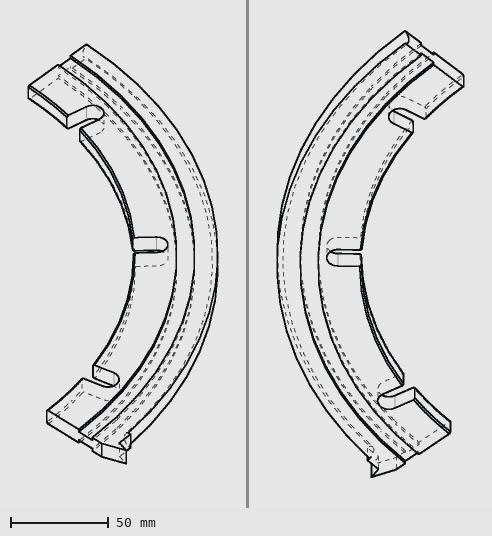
import cadquery as cq
import math

overall_length_x = 219.2

outer_radius = 216.7
inner_radius = 173.5
thickness = 9.5
half_thickness = thickness / 2
sweep_angle = 88.3
edge_chamfer = 0.9

hollow_depth = 2.8

channel_inner_radius = 195.7
channel_outer_radius = 205.0
channel_depth = 1.8

slot_width = 11.5
slot_centre_radius = 185.6
slot_spacing = 32.4
slot_count = 3

tongue_root_x = 211.5
tongue_face_x = 217.8
tongue_tip_x = overall_length_x + inner_radius * math.cos(math.radians(sweep_angle))
tongue_tip_y = 4.5
tongue_face_start_y = 6.4
tongue_face_end_y = 15.0
tongue_embed_x = 208.2


def make_ring_segment():
    """Revolve the radial cross-section, with the inner chamfers and the outer hollow."""
    chamfer_z = half_thickness - edge_chamfer
    profile = (
        cq.Workplane("XZ")
        .moveTo(inner_radius, -chamfer_z)
        .lineTo(inner_radius + edge_chamfer, -half_thickness)
        .lineTo(outer_radius, -half_thickness)
        .threePointArc((outer_radius - hollow_depth, 0), (outer_radius, half_thickness))
        .lineTo(inner_radius + edge_chamfer, half_thickness)
        .lineTo(inner_radius, chamfer_z)
        .close()
    )
    return profile.revolve(sweep_angle, (0, 0, 0), (0, 1, 0))


def make_channel(bottom_z):
    """Annular cutter for one of the face channels."""
    return (
        cq.Workplane("XY", origin=(0, 0, bottom_z))
        .circle(channel_outer_radius)
        .circle(channel_inner_radius)
        .extrude(channel_depth)
    )


def make_slot(angle):
    """Radial cutter from inside the inner wall to the rounded end."""
    length = 2 * (slot_centre_radius - inner_radius) + slot_width
    return (
        cq.Workplane("XY", origin=(0, 0, -half_thickness))
        .center(inner_radius, 0)
        .slot2D(length, slot_width)
        .extrude(thickness)
        .rotate((0, 0, 0), (0, 0, 1), angle)
    )


def extrude_outline(outline):
    """Full-height block over a closed outline of (x, y) points."""
    return cq.Workplane("XY", origin=(0, 0, -half_thickness)).polyline(outline).close().extrude(thickness)


def make_tongue():
    """Full-height block that closes the hollow and carries the pointed tongue."""
    outline = [
        (tongue_embed_x, 0),
        (tongue_root_x, 0),
        (tongue_tip_x, tongue_tip_y),
        (tongue_face_x, tongue_face_start_y),
        (tongue_face_x, tongue_face_end_y),
        (tongue_embed_x, tongue_face_end_y),
    ]
    return extrude_outline(outline)


def make_corner_cut():
    """Cutter that carries the sloping underside of the tongue through the corner of the ring."""
    return extrude_outline([(tongue_root_x, 0), (tongue_tip_x, 0), (tongue_tip_x, tongue_tip_y)])


segment = make_ring_segment()
for channel_bottom_z in (half_thickness - channel_depth, -half_thickness):
    segment = segment.cut(make_channel(channel_bottom_z))

middle_angle = sweep_angle / 2
for index in range(slot_count):
    offset = index - (slot_count - 1) / 2
    segment = segment.cut(make_slot(middle_angle + offset * slot_spacing))

result = segment.cut(make_corner_cut()).union(make_tongue())